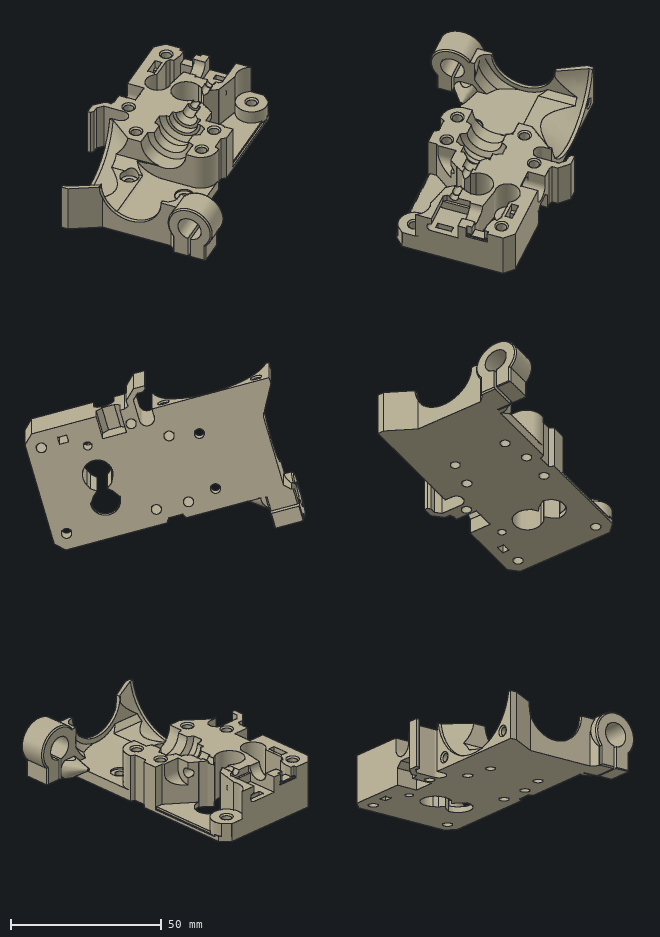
import cadquery as cq
import math


BLOCK_TOP = 17.0
BLOCK_LEFT = -25.1
BLOCK_RIGHT = 17.0
BLOCK_BACK = 20.5
CORNER_CHAMFER = 3.15
THROUGH = 100.0

FAN_FACE_X = -22.65
FAN_END_Y = -64.0
FRONT_Y = -58.5
FLARE_START_X = -20.3
FLARE_END_X = -10.2

HOOK_TIP_X = -31.1
HOOK_START_Y = -14.7
HOOK_TIP_Y = -23.3
SLOT_TOP_Y = -18.45
HOOK_OUTER = [(-25.65, -16.1), (-27.7, -16.1), (HOOK_TIP_X, -19.5), (HOOK_TIP_X, HOOK_TIP_Y)]
HOOK_INNER = [(-29.95, HOOK_TIP_Y), (-29.1, -22.3), (-29.1, -20.3), (-27.3, SLOT_TOP_Y)]
SLOT_BOTTOM_Y = -23.55
SLOT_ROUND_X = -19.9

RELIEF_X = 15.45
RELIEF_TOP_Y = -17.7
RELIEF_BOTTOM_Y = -24.2
RELIEF_BEVEL_TOP = 1.0
RELIEF_BEVEL_BOTTOM = 0.7

BAY_BACK_Y = -31.3
BAY_FRONT_Y = -57.25
BAY_FLOOR_Z = 4.0
DUCT_FLOOR_Z = 5.7
DUCT_LEFT_X = -19.3
BAY_CURVE_R = 12.0
DUCT_RIGHT_X = -math.sqrt(BAY_CURVE_R ** 2 - (BAY_CURVE_R - DUCT_FLOOR_Z + BAY_FLOOR_Z) ** 2)
DUCT_BACK_Y = -31.05
DUCT_STEP_RIGHT_X = -1.9
BAY_CORNER_R = 6.2
BAY_BACK_BEVEL = 3.3
BAY_FRONT_BEVEL = 2.0
LIP_R = 11.1
POST_BACK_Y = -51.6
POST_LEFT_X = 2.0
POST_FACE_X = 15.1
POST_CORNER_R = 3.5
RAMP_PROFILE = [(13.0, BAY_FRONT_Y), (15.4, -54.85), (16.9, POST_BACK_Y)]

FUNNEL_RIM_X = -21.4
FUNNEL_END_X = -11.3
FUNNEL_OUTER = (-43.45, 20.15, 19.55)
FUNNEL_INNER = (-45.1, 18.4, 12.7)

RING_X = 22.9
RING_Z = 12.0
RING_R = 7.99
RING_HOLE_D = 8.4
RING_BACK_Y = POST_BACK_Y
RING_FRONT_Y = -61.7
RING_CHAMFER = 0.5
FOOT_LEFT_X = 16.8
FOOT_RIGHT_X = 28.6
FOOT_TOP_Z = RING_Z
RIGHT_FOOT_Z = 0.2
SLIT_LEFT_X = 22.3
SLIT_RIGHT_X = 23.2
STEP_X = 14.7
STRUT_START_Y = -44.0
STRUT_START_X = 16.9
STRUT_END_X = 18.2
STRUT_START_Z = 4.6
STRUT_END_Z = 3.0
STRUT_START_R = 0.4
STRUT_END_R = 4.2
STRUT_TOP_Z = 6.6

SCREW_D = 3.4
SCREW_RIM_D = 4.5
MOTOR_X = -4.05
MOTOR_PITCH = 31.0
LOWER_SCREWS = [(-12.05, -26.5), (11.8, -26.5)]
BAY_SCREWS = [(-10.1, -36.4), (9.8, -36.4)]
BAY_SCREW_D = 3.3
BAY_HEAD_D = 6.3
BAY_HEAD_Z = 3.4
FAN_CENTRE_Y = -43.5
FAN_PITCH = 32.0
FAN_HOLE_Z = 3.9
FAN_HOLE_D = 2.8
FAN_RIM_D = 3.9
FAN_HOLE_DEPTH = 5.0

CROSS_Y = -7.6
CROSS_Z = 13.0
CROSS_HEAD_D = 7.0
CROSS_SLOT_END_X = -19.0
CROSS_HEAD_END_X = -14.0
CROSS_NUT_R = 4.3
CROSS_NUT_X = 6.9
SIDE_POCKET_DEPTH = 8.0
SIDE_POCKET_BACK_Y = -5.0
SIDE_POCKET_FRONT_Y = -13.2
SIDE_POCKET_TOP_Z = 8.0
SIDE_POCKET_BEVEL = 2.0

GEAR_R = 5.05
GEAR_CENTRES_X = (-5.5, 3.95)
GEAR_WEB_HALF_X = 3.0
GEAR_WEB_HALF_Y = 4.5
NOSE_FLANKS = [(-3.3, 4.6), (-1.45, 3.65), (0, 1.7), (1.45, 3.35), (GEAR_CENTRES_X[1], GEAR_R)]

IDLER_FLOOR_Z = 5.0
PIVOT_X = -16.0
PIVOT_Y = 0.5
PIVOT_R = 4.25
PIVOT_Z = 6.0
PIVOT_HOLE_D = 2.8
PIVOT_RIM_D = 3.7
IDLER_RIGHT_X = -10.05
IDLER_BACK_Y = 16.8
IDLER_LEVER_OUTLINE = [
    (-14.9, IDLER_BACK_Y), (-15.9, 13.4), (-17.2, 13.4), (-18.0, 11.9), (-18.0, PIVOT_Y),
    (-11.9, PIVOT_Y), (-11.8, 1.5), (IDLER_RIGHT_X, 11.3), (IDLER_RIGHT_X, IDLER_BACK_Y),
]
SADDLE_Y = 12.9
SADDLE_R = 3.8
TENSION_LEFT_X = -14.9
TENSION_RIGHT_X = -10.6
TENSION_FLOOR_Z = 13.5
WASHER_LEFT_X = -16.3
WASHER_RIGHT_X = -8.8
WASHER_Y = 19.4
WASHER_STEP_Y = 19.95
WASHER_STEP_DEPTH = 0.5

CHANNEL_LEFT_X = -5.95
CHANNEL_RIGHT_X = 3.5
CHANNEL_END_Y = 8.5
CHANNEL_FLOOR_Z = 11.3
CHANNEL_LEDGE = 0.8
CHANNEL_LEDGE_CORNER = 1.0
UNDERCUT_R = 1.6
SENSOR_SLOT_X = (-2.85, 2.7)
SENSOR_SLOT_Y = (16.5, 18.5)
SENSOR_SLOT_Z = 8.5

CORNER_BOSS_R = 5.5
CORNER_BOSS_Z = 6.7
CORNER_FLOOR_Z = 2.0
CORNER_RIM_X = 16.35
CORNER_RIM_Z = 1.2
CORNER_FRONT_Y = -12.45
CORNER_BACK_EDGE = [(4.1, 5.0), (6.1, 13.2)]
CORNER_FRONT_EDGE = [(13.9, CORNER_FRONT_Y), (4.1, -5.0)]

MAGNET_X = (-21.55, -19.1)
MAGNET_THROUGH_Y = (6.2, 9.35)
MAGNET_RECESS_Y = (4.75, 10.8)
MAGNET_RECESS_DEPTH = 3.0

FILAMENT_R = 1.35
HOTEND_STEPS = [
    (0, 0), (FILAMENT_R, 0), (FILAMENT_R, -5.85), (2.2, -5.85), (2.2, -10.1), (3.9, -12.05),
    (5.1, -12.05), (5.1, -14.8), (6.2, -14.8), (8.2, -15.9), (8.2, -19.6), (6.15, -20.7),
    (6.15, -24.8), (8.2, -25.6), (8.2, BAY_BACK_Y), (0, BAY_BACK_Y),
]
INLET_STEPS = [
    (0, 0), (FILAMENT_R, 0), (FILAMENT_R, 6.3), (1.15, 6.3), (1.5, CHANNEL_END_Y), (0, CHANNEL_END_Y),
]


def block(x0, x1, y0, y1, z0, z1):
    return cq.Workplane("XY").box(x1 - x0, y1 - y0, z1 - z0, centered=False).translate((x0, y0, z0))


def prism(points, z0, z1):
    return cq.Workplane("XY").polyline(points).close().extrude(z1 - z0).translate((0, 0, z0))


def pin_z(x, y, radius, z0, z1):
    return cq.Workplane("XY").circle(radius).extrude(z1 - z0).translate((x, y, z0))


def pin_x(y, z, radius, x0, x1):
    return cq.Workplane("YZ").circle(radius).extrude(x1 - x0).translate((x0, y, z))


def pin_y(x, z, radius, y0, y1):
    return cq.Workplane("XZ").circle(radius).extrude(y1 - y0).translate((x, y1, z))


def rimmed_hole(x, y, top_z, diameter, rim_diameter):
    """Vertical through hole with a 45 degree rim at top_z."""
    depth = (rim_diameter - diameter) / 2
    rim = cq.Workplane("XY").circle(diameter / 2).workplane(offset=depth).circle(rim_diameter / 2).loft()
    return pin_z(x, y, diameter / 2, 0, top_z).union(rim.translate((x, y, top_z - depth)))


def filament_turning(profile):
    """Solid of revolution about the filament axis from (radius, y) points."""
    return (cq.Workplane("XY").polyline(profile).close()
            .revolve(360, (0, 0, 0), (0, 1, 0)).translate((0, 0, BLOCK_TOP)))


def make_body():
    slot_r = (SLOT_TOP_Y - SLOT_BOTTOM_Y) / 2
    slot_mid_y = (SLOT_TOP_Y + SLOT_BOTTOM_Y) / 2
    outline = (
        cq.Workplane("XY")
        .moveTo(BLOCK_LEFT + CORNER_CHAMFER, BLOCK_BACK)
        .lineTo(BLOCK_LEFT, BLOCK_BACK - CORNER_CHAMFER)
        .lineTo(BLOCK_LEFT, HOOK_START_Y)
    )
    for point in HOOK_OUTER + HOOK_INNER:
        outline = outline.lineTo(*point)
    outline = (
        outline.lineTo(SLOT_ROUND_X, SLOT_TOP_Y)
        .threePointArc((SLOT_ROUND_X + slot_r, slot_mid_y), (SLOT_ROUND_X, SLOT_BOTTOM_Y))
        .lineTo(FAN_FACE_X, SLOT_BOTTOM_Y)
        .lineTo(FAN_FACE_X, FAN_END_Y)
        .lineTo(FLARE_START_X, FAN_END_Y)
        .lineTo(FLARE_END_X, FRONT_Y)
        .lineTo(BLOCK_RIGHT, FRONT_Y)
        .lineTo(BLOCK_RIGHT, RELIEF_BOTTOM_Y)
        .lineTo(RELIEF_X, RELIEF_BOTTOM_Y + RELIEF_BEVEL_BOTTOM)
        .lineTo(RELIEF_X, RELIEF_TOP_Y - RELIEF_BEVEL_TOP)
        .lineTo(BLOCK_RIGHT, RELIEF_TOP_Y)
        .lineTo(BLOCK_RIGHT, BLOCK_BACK - CORNER_CHAMFER)
        .lineTo(BLOCK_RIGHT - CORNER_CHAMFER, BLOCK_BACK)
        .close()
    )
    return outline.extrude(BLOCK_TOP)


def bay_cut():
    """Heater bay: curved and flat floor, raised duct floor, rounded corner and front opening."""
    half_angle = math.radians(45)
    curve_mid = (-BAY_CURVE_R * math.sin(half_angle), BAY_FLOOR_Z + BAY_CURVE_R * (1 - math.cos(half_angle)))
    curve_end = (-BAY_CURVE_R, BAY_FLOOR_Z + BAY_CURVE_R)
    bay = (
        cq.Workplane("XZ")
        .moveTo(*curve_end)
        .threePointArc(curve_mid, (0, BAY_FLOOR_Z))
        .lineTo(THROUGH, BAY_FLOOR_Z)
        .lineTo(THROUGH, THROUGH)
        .lineTo(-BAY_CURVE_R, THROUGH)
        .close()
        .extrude(BAY_BACK_Y - BAY_FRONT_Y)
        .translate((0, BAY_BACK_Y, 0))
    )
    bay = bay.cut(block(POST_LEFT_X, THROUGH, BAY_FRONT_Y, POST_BACK_Y, 0, THROUGH))

    duct = (
        cq.Workplane("YZ")
        .moveTo(DUCT_BACK_Y, THROUGH)
        .lineTo(DUCT_BACK_Y, DUCT_FLOOR_Z + BAY_BACK_BEVEL)
        .lineTo(DUCT_BACK_Y - BAY_BACK_BEVEL, DUCT_FLOOR_Z)
        .lineTo(BAY_FRONT_Y + BAY_FRONT_BEVEL, DUCT_FLOOR_Z)
        .lineTo(BAY_FRONT_Y, DUCT_FLOOR_Z + BAY_FRONT_BEVEL)
        .lineTo(BAY_FRONT_Y, THROUGH)
        .close()
        .extrude(DUCT_RIGHT_X - DUCT_LEFT_X)
        .translate((DUCT_LEFT_X, 0, 0))
    )
    step_z = DUCT_FLOOR_Z + BAY_BACK_BEVEL
    step = block(DUCT_LEFT_X, DUCT_STEP_RIGHT_X, BAY_BACK_Y, DUCT_BACK_Y, step_z, THROUGH)

    corner_x = BLOCK_RIGHT - BAY_CORNER_R
    corner_y = BAY_BACK_Y + BAY_CORNER_R
    corner = block(corner_x, THROUGH, BAY_BACK_Y, corner_y, BAY_FLOOR_Z, THROUGH)
    corner = corner.cut(pin_z(corner_x, corner_y, BAY_CORNER_R, 0, THROUGH))

    ramp_cut = (
        cq.Workplane("XY")
        .polyline([(0, BAY_FRONT_Y)] + RAMP_PROFILE + [(0, POST_BACK_Y)])
        .close()
        .revolve(360, (0, 0, 0), (0, 1, 0))
        .translate((0, 0, BLOCK_TOP))
    )
    centre_x = POST_FACE_X - POST_CORNER_R
    centre_y = BAY_FRONT_Y + POST_CORNER_R
    post_side = block(0, centre_x, BAY_FRONT_Y, POST_BACK_Y, BAY_FLOOR_Z, THROUGH)
    post_side = post_side.union(block(centre_x, POST_FACE_X, centre_y, POST_BACK_Y, BAY_FLOOR_Z, THROUGH))
    post_side = post_side.union(pin_z(centre_x, centre_y, POST_CORNER_R, BAY_FLOOR_Z, THROUGH))
    opening = ramp_cut.intersect(post_side)
    lip = pin_y(0, BLOCK_TOP, LIP_R, FAN_END_Y, BAY_FRONT_Y)
    return bay.union(duct).union(step).union(corner).union(opening).union(lip)


def funnel_cut():
    outer_y, outer_z, outer_r = FUNNEL_OUTER
    inner_y, inner_z, inner_r = FUNNEL_INNER
    rim = pin_x(outer_y, outer_z, outer_r, FAN_FACE_X, FUNNEL_RIM_X)
    cone = (
        cq.Workplane("YZ", origin=(FUNNEL_RIM_X, 0, 0))
        .center(outer_y, outer_z).circle(outer_r)
        .workplane(offset=FUNNEL_END_X - FUNNEL_RIM_X)
        .center(inner_y - outer_y, inner_z - outer_z).circle(inner_r)
        .loft(ruled=True)
    )
    return rim.union(cone)


def add_ring(body):
    """Clamp ring with a split foot, joined to the front wall and braced by a conical strut."""
    ring = pin_y(RING_X, RING_Z, RING_R, RING_FRONT_Y, RING_BACK_Y)
    foot = block(FOOT_LEFT_X, FOOT_RIGHT_X, RING_FRONT_Y, RING_BACK_Y, 0, FOOT_TOP_Z)
    ring = ring.union(foot).faces("<Y or >Y").chamfer(RING_CHAMFER)
    step = FOOT_LEFT_X + RING_CHAMFER - STEP_X
    inside_x = BLOCK_RIGHT - 1
    web = prism([
        (STEP_X, FRONT_Y), (STEP_X + step, FRONT_Y - step),
        (STEP_X + step, RING_BACK_Y), (inside_x, RING_BACK_Y), (inside_x, FRONT_Y),
    ], 0, RING_Z)
    strut = (
        cq.Workplane("XZ", origin=(0, STRUT_START_Y, 0))
        .center(STRUT_START_X, STRUT_START_Z).circle(STRUT_START_R)
        .workplane(offset=STRUT_START_Y - RING_BACK_Y)
        .center(STRUT_END_X - STRUT_START_X, STRUT_END_Z - STRUT_START_Z).circle(STRUT_END_R)
        .loft(ruled=True)
    )
    strut = strut.intersect(block(-THROUGH, THROUGH, -THROUGH, THROUGH, 0, STRUT_TOP_Z))
    body = body.union(web).union(strut).union(ring)
    body = body.cut(pin_y(RING_X, RING_Z, RING_HOLE_D / 2, RING_FRONT_Y, RING_BACK_Y))
    body = body.cut(block(SLIT_RIGHT_X, FOOT_RIGHT_X, RING_FRONT_Y, RING_BACK_Y, 0, RIGHT_FOOT_Z))
    return body.cut(block(SLIT_LEFT_X, SLIT_RIGHT_X, RING_FRONT_Y, STRUT_START_Y, 0, RING_Z))


def gear_cut():
    """Two overlapping gear bores with pointed filament guides between them."""
    gears = block(-GEAR_WEB_HALF_X, GEAR_WEB_HALF_X, -GEAR_WEB_HALF_Y, GEAR_WEB_HALF_Y, 0, BLOCK_TOP)
    for x in GEAR_CENTRES_X:
        gears = gears.union(pin_z(x, 0, GEAR_R, 0, BLOCK_TOP))
    nose_root_y = GEAR_R + 1
    nose = [(NOSE_FLANKS[0][0], nose_root_y)] + NOSE_FLANKS + [(NOSE_FLANKS[-1][0], nose_root_y)]
    for side in (1, -1):
        gears = gears.cut(prism([(x, side * y) for x, y in nose], 0, BLOCK_TOP))
    return gears


def idler_cut():
    """Idler lever pocket, pivot seat, tension spring saddle and tension screw channel."""
    pocket = prism(IDLER_LEVER_OUTLINE, IDLER_FLOOR_Z, BLOCK_TOP)
    seat = pin_z(PIVOT_X, PIVOT_Y, PIVOT_R, 0, BLOCK_TOP)
    pocket = pocket.cut(seat).union(pin_z(PIVOT_X, PIVOT_Y, PIVOT_R, PIVOT_Z, BLOCK_TOP))
    saddle = pin_x(SADDLE_Y, BLOCK_TOP, SADDLE_R, IDLER_RIGHT_X - SADDLE_R / 2, CHANNEL_LEFT_X)
    screw = block(TENSION_LEFT_X, TENSION_RIGHT_X, IDLER_BACK_Y, BLOCK_BACK, TENSION_FLOOR_Z, BLOCK_TOP)
    washer = block(WASHER_LEFT_X, WASHER_RIGHT_X, WASHER_Y, BLOCK_BACK, TENSION_FLOOR_Z, BLOCK_TOP)
    step_z = TENSION_FLOOR_Z - WASHER_STEP_DEPTH
    washer = washer.union(block(WASHER_LEFT_X, WASHER_RIGHT_X, WASHER_STEP_Y, BLOCK_BACK, step_z, BLOCK_TOP))
    pivot = rimmed_hole(PIVOT_X, PIVOT_Y, PIVOT_Z, PIVOT_HOLE_D, PIVOT_RIM_D)
    return pocket.union(saddle).union(screw).union(washer).union(pivot)


def channel_cut():
    """Filament inlet channel with an end ledge, an undercut right side and a slot in its floor."""
    ledge_y = CHANNEL_END_Y + CHANNEL_LEDGE
    ledge_z = CHANNEL_FLOOR_Z + 2 * UNDERCUT_R
    channel = block(CHANNEL_LEFT_X, CHANNEL_RIGHT_X, ledge_y, BLOCK_BACK, CHANNEL_FLOOR_Z, BLOCK_TOP)
    ledge = prism([
        (CHANNEL_LEFT_X, ledge_y), (CHANNEL_LEFT_X, CHANNEL_END_Y),
        (CHANNEL_RIGHT_X - CHANNEL_LEDGE_CORNER, CHANNEL_END_Y), (CHANNEL_RIGHT_X, ledge_y),
    ], ledge_z, BLOCK_TOP)
    undercut = pin_y(CHANNEL_RIGHT_X, CHANNEL_FLOOR_Z + UNDERCUT_R, UNDERCUT_R, ledge_y, BLOCK_BACK)
    slot = block(*SENSOR_SLOT_X, *SENSOR_SLOT_Y, SENSOR_SLOT_Z, CHANNEL_FLOOR_Z)
    return channel.union(ledge).union(undercut).union(slot)


def corner_cut():
    """Low area at the back right, around the raised seat of one motor screw."""
    boss_x = MOTOR_X + MOTOR_PITCH / 2
    boss_y = MOTOR_PITCH / 2
    seat_overlap = 1.0
    region = CORNER_BACK_EDGE + [
        (boss_x - CORNER_BOSS_R + seat_overlap, boss_y), (boss_x, BLOCK_BACK),
        (BLOCK_RIGHT, BLOCK_BACK), (BLOCK_RIGHT, CORNER_FRONT_Y),
    ] + CORNER_FRONT_EDGE
    seat = pin_z(boss_x, boss_y, CORNER_BOSS_R, 0, BLOCK_TOP)
    low = prism(region, CORNER_FLOOR_Z, BLOCK_TOP)
    rim = block(CORNER_RIM_X, BLOCK_RIGHT, CORNER_FRONT_Y, boss_y, CORNER_RIM_Z, BLOCK_TOP)
    seat_cut = pin_z(boss_x, boss_y, CORNER_BOSS_R, CORNER_BOSS_Z, BLOCK_TOP)
    return low.union(rim).cut(seat).union(seat_cut)


def magnet_slot_cut():
    """Narrow through slot on the left with a longer recess at its top."""
    through = block(*MAGNET_X, *MAGNET_THROUGH_Y, 0, BLOCK_TOP)
    return through.union(block(*MAGNET_X, *MAGNET_RECESS_Y, BLOCK_TOP - MAGNET_RECESS_DEPTH, BLOCK_TOP))


def cross_screw_cut():
    """Screw along X with an open head seat on the left, a nut seat on the right and a bottom pocket."""
    head_r = CROSS_HEAD_D / 2
    cut = pin_x(CROSS_Y, CROSS_Z, SCREW_D / 2, BLOCK_LEFT, BLOCK_RIGHT)
    seats = [
        (head_r, BLOCK_LEFT, CROSS_HEAD_END_X, CROSS_SLOT_END_X),
        (CROSS_NUT_R, CROSS_NUT_X, BLOCK_RIGHT, BLOCK_RIGHT),
    ]
    for radius, x0, x1, slot_x1 in seats:
        cut = cut.union(pin_x(CROSS_Y, CROSS_Z, radius, x0, x1))
        cut = cut.union(block(x0, slot_x1, CROSS_Y - radius, CROSS_Y + radius, CROSS_Z, BLOCK_TOP))
    pocket = (
        cq.Workplane("YZ")
        .polyline([
            (SIDE_POCKET_BACK_Y, 0),
            (SIDE_POCKET_BACK_Y, SIDE_POCKET_TOP_Z - SIDE_POCKET_BEVEL),
            (SIDE_POCKET_BACK_Y - SIDE_POCKET_BEVEL, SIDE_POCKET_TOP_Z),
            (SIDE_POCKET_FRONT_Y + SIDE_POCKET_BEVEL, SIDE_POCKET_TOP_Z),
            (SIDE_POCKET_FRONT_Y, SIDE_POCKET_TOP_Z - SIDE_POCKET_BEVEL),
            (SIDE_POCKET_FRONT_Y, 0),
        ])
        .close()
        .extrude(SIDE_POCKET_DEPTH)
        .translate((BLOCK_LEFT, 0, 0))
    )
    return cut.union(pocket)


def drill_holes(body):
    half = MOTOR_PITCH / 2
    for i in (-1, 1):
        for j in (-1, 1):
            on_corner_boss = i == 1 and j == 1
            top = CORNER_BOSS_Z if on_corner_boss else BLOCK_TOP
            body = body.cut(rimmed_hole(MOTOR_X + i * half, j * half, top, SCREW_D, SCREW_RIM_D))
    for x, y in LOWER_SCREWS:
        body = body.cut(rimmed_hole(x, y, BLOCK_TOP, SCREW_D, SCREW_RIM_D))
    for x, y in BAY_SCREWS:
        body = body.cut(pin_z(x, y, BAY_SCREW_D / 2, 0, BAY_HEAD_Z))
        body = body.cut(pin_z(x, y, BAY_HEAD_D / 2, BAY_HEAD_Z, BLOCK_TOP))
    rim_depth = (FAN_RIM_D - FAN_HOLE_D) / 2
    for side in (-1, 1):
        y = FAN_CENTRE_Y + side * FAN_PITCH / 2
        rim = (
            cq.Workplane("YZ").circle(FAN_RIM_D / 2)
            .workplane(offset=rim_depth).circle(FAN_HOLE_D / 2).loft()
            .translate((FAN_FACE_X, y, FAN_HOLE_Z))
        )
        body = body.cut(pin_x(y, FAN_HOLE_Z, FAN_HOLE_D / 2, FAN_FACE_X, FAN_FACE_X + FAN_HOLE_DEPTH))
        body = body.cut(rim)
    return body


body = make_body()
for cutter in (
    bay_cut(), funnel_cut(), filament_turning(HOTEND_STEPS), filament_turning(INLET_STEPS),
    gear_cut(), idler_cut(), channel_cut(), corner_cut(), magnet_slot_cut(), cross_screw_cut(),
):
    body = body.cut(cutter)
body = drill_holes(body)
result = add_ring(body)